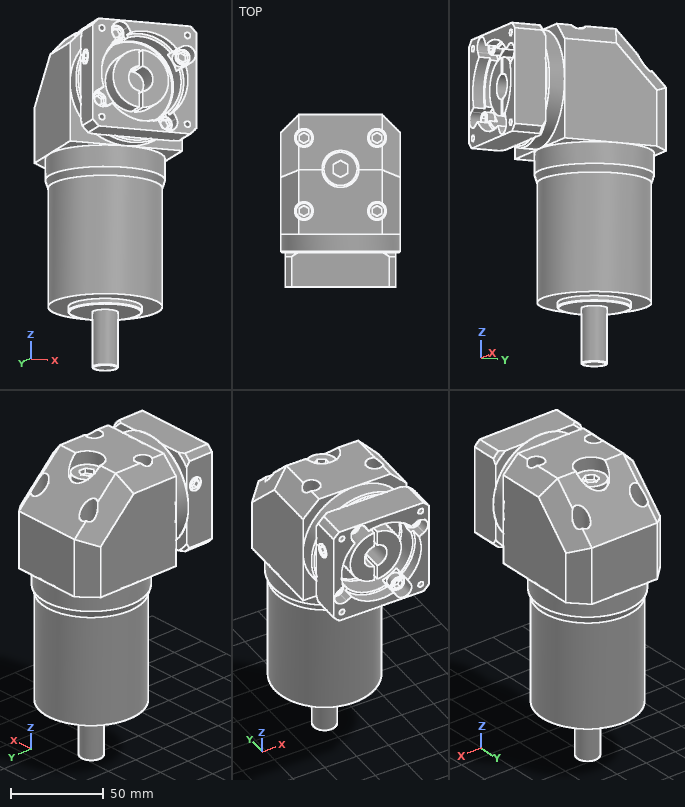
import cadquery as cq
import math


case = 65.0
half = case / 2
slope_cut = 30.0
side_chamfer = 10.0

collar_length = 12.0
cone_length = 4.5
barrel_diameter = 62.0
output_face_depth = 82.5
pilot_diameter = 40.0
pilot_length = 3.0
shaft_diameter = 14.0
shaft_length = 31.0
edge_break = 0.5

ring_length = 10.0
ring_chamfer = 1.0
ring_recess_depth = 2.0

screw_circle_radius = 28.0
head_diameter = 8.5
plate_head_chamfer = 0.5
head_height = 5.0
head_pocket_diameter = 10.0
socket_flats = 5.0
socket_depth = 3.0
socket_turn = 30.0
case_screw_seat = 0.0

plug_offset = 3.0
plug_bore_diameter = 20.0
plug_diameter = 18.0
plug_top_depth = 7.7
plug_thickness = 4.0
plug_socket_flats = 8.0

plate_size = 60.0
plate_turned_diameter = 80.0
plate_thickness = 18.5
plate_chamfer = 2.0
motor_pilot_diameter = 50.0
motor_pilot_depth = 6.5
plate_bore_diameter = 47.0
plate_screw_angles = (30.0, 120.0, 210.0, 300.0)
plate_screw_head_depth = 6.0
motor_hole_circle = 70.0
motor_hole_diameter = 3.3
motor_hole_depth = 10.0
drill_point_angle = 118.0
access_hole_diameter = 8.0
access_plug_recess = 0.3
access_height = 11.0
access_offset = 12.0

hub_diameter = 32.0
hub_bore_diameter = 14.0
hub_neck_diameter = 20.0
hub_recess = 6.0
hub_collar_length = 12.0
hub_slot_width = 2.0

ring_front = -half - ring_length
hub_seat = ring_front + ring_recess_depth
plate_front = ring_front - plate_thickness
hub_front = plate_front + hub_recess
hub_collar_rear = hub_front + hub_collar_length
output_face = -half - output_face_depth
shaft_end = output_face - pilot_length - shaft_length


def across_corners(flats):
    return flats / math.cos(math.pi / 6)


def square_corners(circle_radius):
    """Four points at 45 degrees on a circle."""
    reach = circle_radius / math.sqrt(2)
    return [(x, y) for x in (-reach, reach) for y in (-reach, reach)]


def rod_y(diameter, front, rear, x=0.0, z=0.0):
    """Cylinder along Y between two Y positions."""
    plane = cq.Workplane("XZ", origin=(x, rear, z))
    return plane.circle(diameter / 2).extrude(rear - front)


def rod_z(diameter, bottom, top, x=0.0, y=0.0):
    """Cylinder along Z between two heights."""
    plane = cq.Workplane("XY", origin=(x, y, bottom))
    return plane.circle(diameter / 2).extrude(top - bottom)


def socket_head(diameter, height, flats, depth):
    """Upright head standing on the XY plane with a hexagon socket, two corners along Y."""
    head = cq.Workplane("XY").circle(diameter / 2).extrude(height)
    socket = (
        cq.Workplane("XY", origin=(0, 0, height - depth))
        .polygon(6, across_corners(flats))
        .extrude(depth)
        .rotate((0, 0, 0), (0, 0, 1), 90)
    )
    return head.cut(socket)


def angle_housing():
    block = (
        cq.Workplane("YZ", origin=(-half, 0, 0))
        .moveTo(-half, -half)
        .lineTo(half, -half)
        .lineTo(half, half - slope_cut)
        .lineTo(half - slope_cut, half)
        .lineTo(-half, half)
        .close()
        .extrude(case)
    )
    side_edges = block.faces(">Z or >Y or >(0, 1, 1)").edges("<X or >X")
    return side_edges.chamfer(side_chamfer)


def output_stage():
    """Turned profile around Z: collar, cone, barrel, pilot and shaft."""
    collar_radius = case / 2
    barrel_radius = barrel_diameter / 2
    pilot_radius = pilot_diameter / 2
    shaft_radius = shaft_diameter / 2
    collar_end = -half - collar_length
    pilot_face = output_face - pilot_length
    profile = [
        (0, -half),
        (collar_radius, -half),
        (collar_radius, collar_end),
        (barrel_radius, collar_end - cone_length),
        (barrel_radius, output_face),
        (pilot_radius, output_face),
        (pilot_radius, pilot_face + edge_break),
        (pilot_radius - edge_break, pilot_face),
        (shaft_radius, pilot_face),
        (shaft_radius, shaft_end + edge_break),
        (shaft_radius - edge_break, shaft_end),
        (0, shaft_end),
    ]
    return cq.Workplane("XZ").polyline(profile).close().revolve(360, (0, 0, 0), (0, 1, 0))


def input_ring():
    ring = rod_y(case, ring_front, -half)
    ring = ring.faces("<Y").chamfer(ring_chamfer)
    return ring.cut(rod_y(plate_bore_diameter, ring_front, hub_seat))


def add_case_screws(body):
    head = socket_head(head_diameter, head_height, socket_flats, socket_depth)
    for x, y in square_corners(screw_circle_radius):
        body = body.cut(rod_z(head_pocket_diameter, case_screw_seat, half, x, y))
        body = body.union(head.translate((x, y, case_screw_seat)))
    return body


def add_plug(body):
    plug_seat = half - plug_top_depth - plug_thickness
    plug = socket_head(plug_diameter, plug_thickness, plug_socket_flats, socket_depth)
    body = body.cut(rod_z(plug_bore_diameter, plug_seat, half, 0, plug_offset))
    return body.union(plug.translate((0, plug_offset, plug_seat)))


gearbox = angle_housing().union(output_stage()).union(input_ring())
gearbox = add_case_screws(gearbox)
gearbox = add_plug(gearbox)


def plate_blank():
    square = cq.Workplane("XY").box(plate_size, plate_thickness, plate_size)
    square = square.translate((0, plate_front + plate_thickness / 2, 0))
    turned = rod_y(plate_turned_diameter, plate_front, ring_front)
    return square.intersect(turned.faces(">Y").chamfer(plate_chamfer))


def add_plate_screws(body):
    """Heads in pockets that open into the bore."""
    head_face = plate_front + plate_screw_head_depth
    seat = head_face + head_height
    pocket_depth = seat - plate_front
    head = socket_head(head_diameter, head_height, socket_flats, socket_depth)
    head = head.faces(">Z").edges("%CIRCLE").chamfer(plate_head_chamfer)
    head = head.rotate((0, 0, 0), (1, 0, 0), 90).rotate((0, 0, 0), (0, 1, 0), socket_turn)
    head = head.translate((screw_circle_radius, seat, 0))
    channel = cq.Workplane("XY").box(screw_circle_radius, pocket_depth, head_pocket_diameter)
    channel = channel.translate((screw_circle_radius / 2, seat - pocket_depth / 2, 0))
    pocket = rod_y(head_pocket_diameter, plate_front, seat, x=screw_circle_radius).union(channel)
    for angle in plate_screw_angles:
        body = body.cut(pocket.rotate((0, 0, 0), (0, 1, 0), -angle))
        body = body.union(head.rotate((0, 0, 0), (0, 1, 0), -angle))
    return body


def motor_hole():
    """Blind drilled hole with a conical end, along Y from the plate front."""
    radius = motor_hole_diameter / 2
    tip = radius / math.tan(math.radians(drill_point_angle / 2))
    profile = [(0, 0), (radius, 0), (radius, motor_hole_depth), (0, motor_hole_depth + tip)]
    drill = cq.Workplane("XY").polyline(profile).close().revolve(360, (0, 0, 0), (0, 1, 0))
    return drill.translate((0, plate_front, 0))


def add_access_plug(body):
    """Hole from the -X side towards the hub, closed by a screw plug with a hexagon socket."""
    place = (-plate_size / 2, plate_front + access_offset, access_height)
    side = cq.Workplane("YZ", origin=place)
    hole = side.circle(access_hole_diameter / 2).extrude(access_plug_recess)
    socket = side.polygon(6, across_corners(socket_flats)).extrude(access_plug_recess + socket_depth)
    return body.cut(hole).cut(socket)


adapter = plate_blank()
adapter = adapter.cut(rod_y(plate_bore_diameter, plate_front, ring_front))
adapter = adapter.cut(rod_y(motor_pilot_diameter, plate_front, plate_front + motor_pilot_depth))
adapter = add_plate_screws(adapter)
for x, z in square_corners(motor_hole_circle / 2):
    adapter = adapter.cut(motor_hole().translate((x, 0, z)))
adapter = add_access_plug(adapter)


hub = rod_y(hub_diameter, hub_front, hub_collar_rear)
hub = hub.union(rod_y(hub_neck_diameter, hub_collar_rear, hub_seat))
hub = hub.cut(rod_y(hub_bore_diameter, hub_front, hub_seat))
hub_slot = cq.Workplane("XY").box(hub_slot_width, hub_collar_length, hub_diameter)
hub = hub.cut(hub_slot.translate((0, hub_front + hub_collar_length / 2, 0)))

result = cq.Compound.makeCompound([gearbox.val(), adapter.val(), hub.val()])